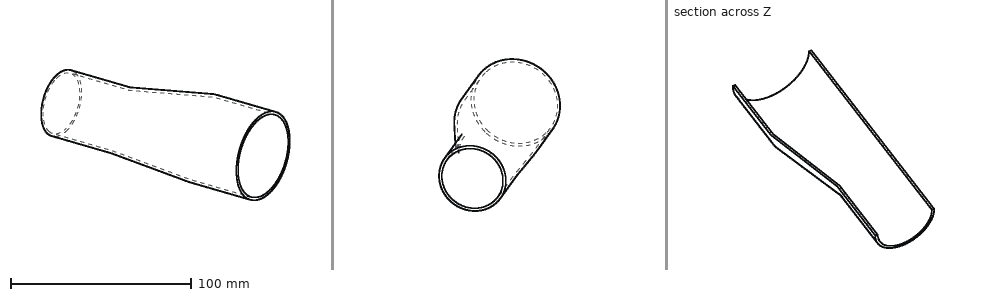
import cadquery as cq

total_length = 133.4
cone_length = 50.8
small_diameter = 38.1
large_diameter = 50.8
small_bore = 34.8
large_bore = 47.5

tube_length = (total_length - cone_length) / 2

small_axis_y = -(large_diameter - small_diameter) / 2
cone_start_x = tube_length
cone_end_x = tube_length + cone_length


def reducer_solid(small_end_diameter, large_end_diameter):
    """Solid small cylinder, oblique cone and large cylinder, in order along +X."""
    small_end = (
        cq.Workplane("YZ")
        .center(small_axis_y, 0)
        .circle(small_end_diameter / 2)
        .extrude(tube_length)
    )
    cone = (
        cq.Workplane("YZ", origin=(cone_start_x, 0, 0))
        .center(small_axis_y, 0)
        .circle(small_end_diameter / 2)
        .workplane(offset=cone_length)
        .center(-small_axis_y, 0)
        .circle(large_end_diameter / 2)
        .loft(ruled=True)
    )
    large_end = (
        cq.Workplane("YZ", origin=(cone_end_x, 0, 0))
        .circle(large_end_diameter / 2)
        .extrude(tube_length)
    )
    return small_end.union(cone).union(large_end)


outer_body = reducer_solid(small_diameter, large_diameter)
bore = reducer_solid(small_bore, large_bore)
result = outer_body.cut(bore)